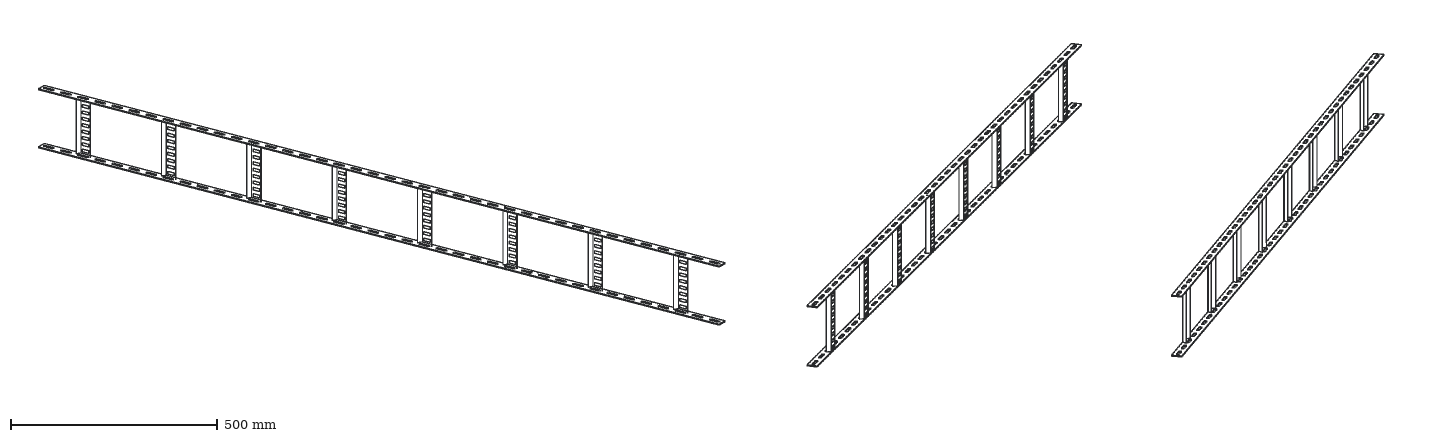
import cadquery as cq
import math

rail_length = 1994.0
rail_width = 25.0
rail_thickness = 3.0

rail_slot_count = 40
rail_slot_length = 30.0
rail_slot_width = 7.0
rail_slot_margin = 22.0
rail_slot_pitch = (rail_length - 2 * rail_slot_margin) / (rail_slot_count - 1)

rung_count = 8
rung_length = 150.0
rung_depth = 11.5
rung_sheet = 1.5
rung_base_half = 13.4
rung_wall_angle = math.radians(56.3)
rail_slots_per_rung = 5
rung_pitch = rail_slots_per_rung * rail_slot_pitch
rung_shift = -0.7

rung_slot_count = 9
rung_slot_length = 19.0
rung_slot_width = 7.0
rung_slot_corner = 1.4
rung_slot_pitch = 16.7

back_y = rail_width / 2
rail_center_z = (rung_length + rail_thickness) / 2


def row_positions(count, pitch):
    """Evenly spaced positions, centred on zero."""
    return [(i - (count - 1) / 2) * pitch for i in range(count)]


def make_rail(center_z):
    """One slotted flat bar."""
    slot_centers = [(x, 0) for x in row_positions(rail_slot_count, rail_slot_pitch)]
    slots = (
        cq.Workplane("XY")
        .pushPoints(slot_centers)
        .slot2D(rail_slot_length, rail_slot_width)
        .extrude(rail_thickness, both=True)
    )
    bar = cq.Workplane("XY").box(rail_length, rail_width, rail_thickness)
    return bar.cut(slots).translate((0, 0, center_z))


def make_channel():
    """The rung's bent sheet, with each wall's end cut square to the wall."""
    wall_dx = math.cos(rung_wall_angle)
    wall_dy = math.sin(rung_wall_angle)
    wall_length = (rung_depth - rung_sheet) / wall_dy

    inner_x = rung_base_half
    inner_y = back_y - rung_sheet
    outer_x = inner_x + rung_sheet * math.tan(rung_wall_angle / 2)
    lip_x = inner_x + wall_length * wall_dx
    lip_y = back_y - rung_depth

    right_side = [
        (inner_x, inner_y),
        (lip_x, lip_y),
        (lip_x + rung_sheet * wall_dy, lip_y + rung_sheet * wall_dx),
        (outer_x, back_y),
    ]
    left_side = [(-x, y) for x, y in reversed(right_side)]
    return (
        cq.Workplane("XY")
        .polyline(right_side + left_side)
        .close()
        .extrude(rung_length / 2, both=True)
    )


def make_rung(center_x):
    """One channel with a column of round-cornered slots through its base."""
    slot_centers = [(0, z) for z in row_positions(rung_slot_count, rung_slot_pitch)]
    slots = (
        cq.Workplane("XZ", origin=(0, back_y, 0))
        .pushPoints(slot_centers)
        .rect(rung_slot_length, rung_slot_width)
        .extrude(rung_sheet)
        .edges("|Y")
        .fillet(rung_slot_corner)
    )
    return make_channel().cut(slots).translate((center_x, 0, 0))


rails = [make_rail(z).solids().val() for z in (rail_center_z, -rail_center_z)]
rungs = [make_rung(rung_shift + x).solids().val() for x in row_positions(rung_count, rung_pitch)]

result = cq.Compound.makeCompound([*rails, *rungs])